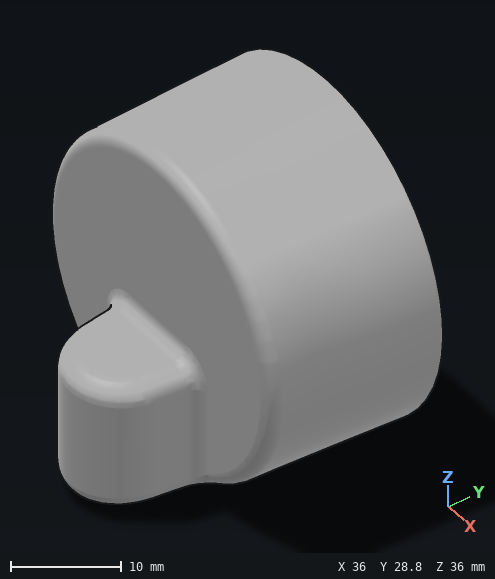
import cadquery as cq
import math

back_radius = 18.0
body_length = 19.0
body_draft = math.radians(2.0)
back_edge_fillet = 0.5

lug_height = 9.75
lug_nose_radius = 6.0
lug_side_draft = math.radians(7.0)
lug_top_z = -2.5
lug_top_draft = math.radians(2.0)
lug_top_fillet = 2.0
lug_embed = 3.0

outer_fillet = 1.5

total_length = body_length + lug_height
front_y = -body_length
tip_y = -total_length
lug_root_y = front_y + lug_embed


def draft_cone(length):
    """Solid frustum tapering from the back face toward -Y."""
    end_radius = back_radius - length * math.tan(body_draft)
    profile = [(0, 0), (0, back_radius), (-length, end_radius), (-length, 0)]
    return cq.Workplane("YZ").polyline(profile).close().revolve(360, (0, 0, 0), (1, 0, 0))


def lug_outline_prism():
    """D-shaped prism along Z: drafted flanks tangent to a round nose."""
    nose_center_y = tip_y + lug_nose_radius
    tangent_x = lug_nose_radius * math.cos(lug_side_draft)
    tangent_y = nose_center_y - lug_nose_radius * math.sin(lug_side_draft)
    root_x = tangent_x + (lug_root_y - tangent_y) * math.tan(lug_side_draft)
    return (
        cq.Workplane("XY")
        .workplane(offset=-back_radius)
        .moveTo(root_x, lug_root_y)
        .lineTo(tangent_x, tangent_y)
        .threePointArc((0, tip_y), (-tangent_x, tangent_y))
        .lineTo(-root_x, lug_root_y)
        .close()
        .extrude(back_radius)
    )


def below_lug_top():
    """Block under the lug's top plane, which slopes down toward the tip."""
    root_z = lug_top_z + lug_embed * math.tan(lug_top_draft)
    tip_z = lug_top_z - lug_height * math.tan(lug_top_draft)
    profile = [
        (lug_root_y, root_z),
        (tip_y, tip_z),
        (tip_y, -back_radius),
        (lug_root_y, -back_radius),
    ]
    return cq.Workplane("YZ").polyline(profile).close().extrude(back_radius, both=True)


def make_lug():
    """Lug whose underside continues the conical wall of the body."""
    lug = lug_outline_prism().intersect(below_lug_top())
    lug = lug.faces(">Z").edges("not >Y").fillet(lug_top_fillet)
    return lug.intersect(draft_cone(total_length))


def round_edges(part):
    """Round the back edge, then the front rim, lug root and lug bottom together."""
    part = part.faces(">Y").edges().fillet(back_edge_fillet)
    front_center = (0, front_y, 0)
    front_face_edges = part.faces(cq.selectors.NearestToPointSelector(front_center)).edges()
    lug_zone = cq.selectors.BoxSelector(
        (-back_radius, tip_y, -back_radius),
        (back_radius, front_y, 0),
    )
    lug_bottom_edges = part.faces("%CONE").edges(lug_zone)
    return part.newObject(front_face_edges.vals() + lug_bottom_edges.vals()).fillet(outer_fillet)


knob = draft_cone(body_length).union(make_lug(), clean=True)
result = round_edges(knob)